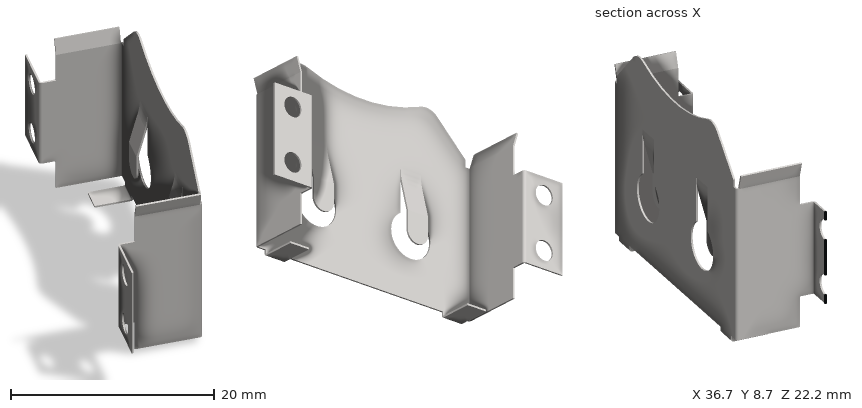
import cadquery as cq
import math


sheet = 0.202
bend_inside = 0.1
bend_outside = bend_inside + sheet

half_width = 18.35
depth = 8.7

wall_outer_x = 13.65
wall_inner_x = wall_outer_x - sheet
wall_height = 16.55
wall_depth = 6.97
lip_angle = math.radians(17)
lip_length = 1.7

flange_bottom = 3.35
flange_height = 10.02
flange_hole_diameter = 2.15
flange_hole_spacing = 6.02
flange_hole_x = 16.05

shoulder_x = 13.0
shoulder_height = 17.35
scoop_bottom = 20.05
scoop_radius = 19.45
peak_radius = 2.02

tab_inner_x = 10.13
tab_width = 2.35
tab_depth = 4.0
tab_drop = 0.65

tongue_spacing = 12.0
tongue_x = tongue_spacing / 2
tongue_width = 2.57
tongue_top = 14.02
tongue_kink = 9.05
tongue_angle = math.radians(15)
tongue_bend_radius = 6.02
keyhole_diameter = 5.0
keyhole_z = 7.0


def mirrored(body):
    """Return the body together with its mirror image across x = 0."""
    return body.union(body.mirror("YZ"))


def round_bend(body, axis, inside_point, outside_point):
    """Round the inside and outside edges of a sharp sheet bend running along the given axis."""
    inside = cq.selectors.NearestToPointSelector(inside_point)
    outside = cq.selectors.NearestToPointSelector(outside_point)
    body = body.edges("|" + axis).edges(inside).fillet(bend_inside)
    return body.edges("|" + axis).edges(outside).fillet(bend_outside)


def back_plate():
    """Plate with 45 degree shoulders and a circular scoop between two rounded peaks."""
    plate_half_width = wall_inner_x - bend_inside
    apex_height = shoulder_height + shoulder_x
    right_side = [
        (plate_half_width, 0),
        (plate_half_width, wall_height),
        (shoulder_x, wall_height),
        (shoulder_x, shoulder_height),
    ]
    left_side = [(-x, z) for x, z in reversed(right_side)]
    plate = (
        cq.Workplane("XZ")
        .polyline(right_side + [(0, apex_height)] + left_side)
        .close()
        .extrude(sheet)
    )
    scoop = (
        cq.Workplane("XZ")
        .center(0, scoop_bottom + scoop_radius)
        .circle(scoop_radius)
        .extrude(sheet)
    )
    return plate.cut(scoop).edges("|Y").edges(">Z").fillet(peak_radius)


def side_wall():
    """Right wall bent forward from the plate and then outward into its mounting flange."""
    profile = [
        (shoulder_x, 0),
        (wall_outer_x, 0),
        (wall_outer_x, sheet - depth),
        (half_width, sheet - depth),
        (half_width, -depth),
        (wall_inner_x, -depth),
        (wall_inner_x, -sheet),
        (shoulder_x, -sheet),
    ]
    wall = cq.Workplane("XY").polyline(profile).close().extrude(wall_height)
    mid_z = wall_height / 2
    wall = round_bend(wall, "Z", (wall_inner_x, -sheet, mid_z), (wall_outer_x, 0, mid_z))
    wall = round_bend(wall, "Z", (wall_outer_x, sheet - depth, mid_z), (wall_inner_x, -depth, mid_z))

    flange_top = flange_bottom + flange_height
    for bottom, top in ((0, flange_bottom), (flange_top, wall_height)):
        relief = cq.Workplane("XY").box(
            half_width, depth - wall_depth, top - bottom, centered=(False, False, False)
        )
        wall = wall.cut(relief.translate((shoulder_x, -depth, bottom)))

    hole_center_z = flange_bottom + flange_height / 2
    holes = (
        cq.Workplane("XZ")
        .center(flange_hole_x, hole_center_z)
        .rarray(0.35, flange_hole_spacing, 1, 2)
        .circle(flange_hole_diameter / 2)
        .extrude(depth)
    )
    return wall.cut(holes)


def lip():
    """Outward-flared lip along the top of the right wall."""
    rise = lip_length * math.cos(lip_angle)
    run = lip_length * math.sin(lip_angle)
    outer_kink_z = wall_height - sheet * math.tan(lip_angle / 2)
    profile = [
        (wall_inner_x, outer_kink_z),
        (wall_inner_x, wall_height),
        (wall_inner_x + run, wall_height + rise),
        (wall_inner_x + run + sheet * math.cos(lip_angle), wall_height + rise - sheet * math.sin(lip_angle)),
        (wall_outer_x, outer_kink_z),
    ]
    flare = cq.Workplane("XZ").polyline(profile).close().extrude(wall_depth - bend_outside)
    return flare.translate((0, -bend_outside, 0))


def bottom_tab():
    """Right tab that drops below the plate and bends forward."""
    profile = [
        (0, sheet),
        (0, -tab_drop),
        (-tab_depth, -tab_drop),
        (-tab_depth, sheet - tab_drop),
        (-sheet, sheet - tab_drop),
        (-sheet, sheet),
    ]
    tab = cq.Workplane("YZ").polyline(profile).close().extrude(tab_width)
    mid_x = tab_width / 2
    tab = round_bend(tab, "X", (mid_x, -sheet, sheet - tab_drop), (mid_x, 0, -tab_drop))
    return tab.translate((tab_inner_x, 0, 0))


def tongue_slot(thickness):
    """Straight slot from the centre of the right keyhole up to the root of its tongue."""
    return (
        cq.Workplane("XZ")
        .center(tongue_x, (tongue_top + keyhole_z) / 2)
        .rect(tongue_width, tongue_top - keyhole_z)
        .extrude(thickness)
    )


def keyhole():
    """Right opening: a round hole with a slot above it that frees the tongue."""
    hole = cq.Workplane("XZ").center(tongue_x, keyhole_z).circle(keyhole_diameter / 2).extrude(sheet)
    return hole.union(tongue_slot(sheet))


def tongue():
    """Right tongue: curves forward, slopes down, then hangs parallel to the plate with a round end."""
    def bend_point(face_radius, angle):
        return (
            -sheet - tongue_bend_radius + face_radius * math.cos(angle),
            tongue_top - face_radius * math.sin(angle),
        )

    front_radius = tongue_bend_radius
    back_radius = tongue_bend_radius + sheet
    front_mid, front_end = (bend_point(front_radius, a) for a in (tongue_angle / 2, tongue_angle))
    back_mid, back_end = (bend_point(back_radius, a) for a in (tongue_angle / 2, tongue_angle))
    front_kink_y = front_end[0] - (front_end[1] - tongue_kink) * math.tan(tongue_angle)
    back_kink_z = tongue_kink - sheet * math.tan(tongue_angle / 2)
    tongue_bottom = keyhole_z - tongue_width / 2
    strip = (
        cq.Workplane("YZ")
        .moveTo(-sheet, tongue_top)
        .threePointArc(front_mid, front_end)
        .lineTo(front_kink_y, tongue_kink)
        .lineTo(front_kink_y, tongue_bottom)
        .lineTo(front_kink_y + sheet, tongue_bottom)
        .lineTo(front_kink_y + sheet, back_kink_z)
        .lineTo(*back_end)
        .threePointArc(back_mid, (0, tongue_top))
        .close()
        .extrude(tongue_width)
        .translate((tongue_x - tongue_width / 2, 0, 0))
    )
    round_end = cq.Workplane("XZ").center(tongue_x, keyhole_z).circle(tongue_width / 2).extrude(depth)
    return strip.intersect(tongue_slot(depth).union(round_end))


plate = back_plate().cut(mirrored(keyhole()))
right_parts = side_wall().union(lip()).union(bottom_tab()).union(tongue())
result = plate.union(mirrored(right_parts))